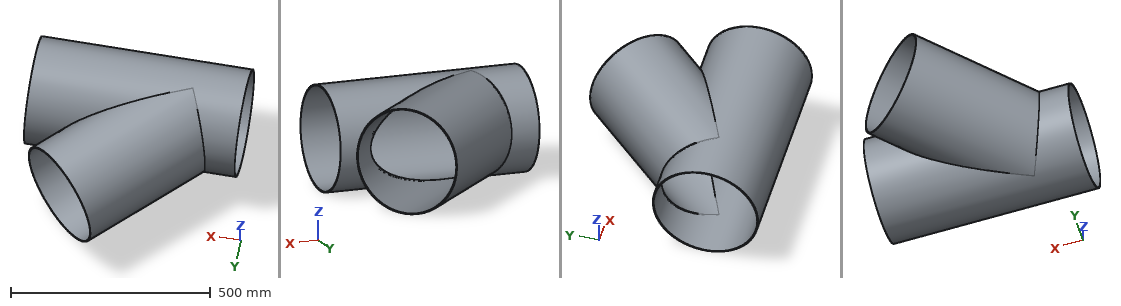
import cadquery as cq
import math

outer_diameter = 273.0
inner_diameter = 267.0
run_length = 536.0
inlet_length = 132.0
branch_length = run_length - inlet_length
branch_angle = 45.0

branch_direction = cq.Vector(
    math.cos(math.radians(branch_angle)),
    math.sin(math.radians(branch_angle)),
    0,
)


def run_cylinder(diameter):
    """Cylinder filling the whole length of the straight run."""
    start = cq.Vector(-inlet_length, 0, 0)
    return cq.Solid.makeCylinder(diameter / 2, run_length, start, cq.Vector(1, 0, 0))


def miter_cutter():
    """Prism covering the wedge where a branch of equal diameter lies outside the run.

    Two mitre planes through the Z axis bisect the angles between the run and the branch.
    """
    reach = 2 * run_length
    bisector = math.radians(branch_angle / 2)
    far_point = (reach * math.cos(bisector), reach * math.sin(bisector))
    near_point = (-reach * math.sin(bisector), reach * math.cos(bisector))
    corner = (far_point[0] + near_point[0], far_point[1] + near_point[1])
    return (
        cq.Workplane("XY")
        .polyline([(0, 0), far_point, corner, near_point])
        .close()
        .extrude(outer_diameter, both=True)
        .val()
    )


def branch_cylinder(diameter):
    """Branch cylinder started well behind the axis crossing and trimmed to the mitre planes."""
    start = branch_direction * -outer_diameter
    length = branch_length + outer_diameter
    cylinder = cq.Solid.makeCylinder(diameter / 2, length, start, branch_direction)
    return cylinder.intersect(miter_cutter())


def tee_body(diameter):
    """Run and branch of one diameter joined into a single body."""
    return cq.Workplane(obj=run_cylinder(diameter)).union(cq.Workplane(obj=branch_cylinder(diameter)))


result = tee_body(outer_diameter).cut(tee_body(inner_diameter))